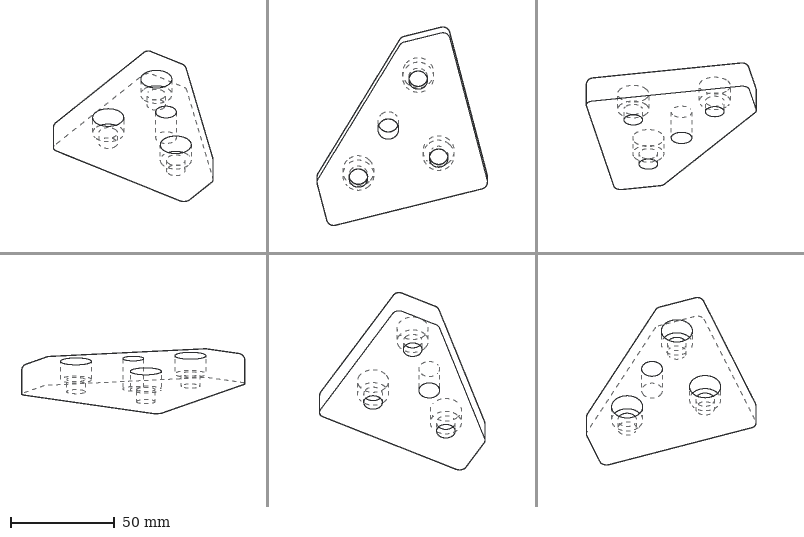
import cadquery as cq

side = 80.0
thickness = 15.0
short_edge = 23.4
edge_radius = 3.5

hole_pitch = 40.0
hole_margin = (side - hole_pitch) / 2
screw_diameter = 9.0
counterbore_diameter = 15.0
counterbore_depth = 9.0
center_hole_diameter = 10.0


def make_plate():
    """Five-sided plate with its corners and top rim rounded by one radius."""
    outline = [
        (0, 0),
        (side, 0),
        (side, short_edge),
        (short_edge, side),
        (0, side),
    ]
    plate = cq.Workplane("XY").polyline(outline).close().extrude(thickness)
    return plate.edges("|Z or >Z").fillet(edge_radius)


def cut_screw_holes(body):
    """Counterbored holes at the square corner and one pitch along X and Y."""
    far = hole_margin + hole_pitch
    positions = [
        (hole_margin, hole_margin),
        (far, hole_margin),
        (hole_margin, far),
    ]
    top = cq.Workplane("XY", origin=(0, 0, thickness))
    return body.cut(
        top.pushPoints(positions).circle(screw_diameter / 2).extrude(-thickness)
    ).cut(
        top.pushPoints(positions).circle(counterbore_diameter / 2).extrude(-counterbore_depth)
    )


def cut_center_hole(body):
    """Plain through hole in the middle of the square."""
    drill = (
        cq.Workplane("XY")
        .center(side / 2, side / 2)
        .circle(center_hole_diameter / 2)
        .extrude(thickness)
    )
    return body.cut(drill)


result = cut_center_hole(cut_screw_holes(make_plate()))